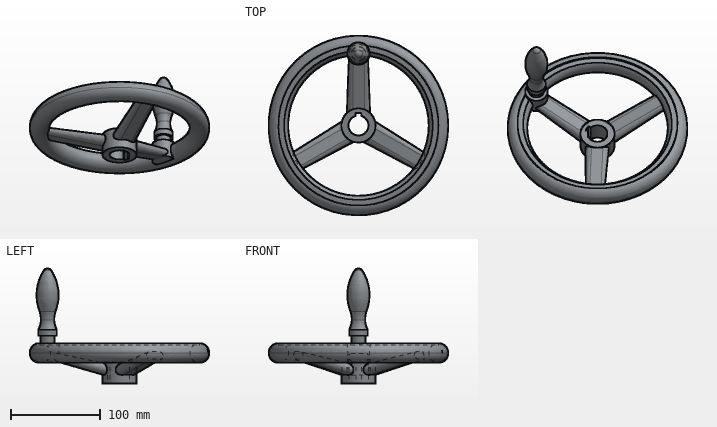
import cadquery as cq
import math

RIM_OUTER_RADIUS = 100.0
RIM_SECTION_RADIUS = 11.0
RIM_CENTER_RADIUS = RIM_OUTER_RADIUS - RIM_SECTION_RADIUS
RIM_CENTER_Z = 34.0
RIM_TOP_Z = RIM_CENTER_Z + RIM_SECTION_RADIUS
LEDGE_DEPTH = 2.0

HUB_DIAMETER = 38.0
HUB_HEIGHT = 24.0
BORE_DIAMETER = 22.0
KEYWAY_WIDTH = 6.0
KEYWAY_REACH = 13.8

SPOKE_COUNT = 3
SPOKE_FLAT_WIDTH = 12.6
SPOKE_INNER_DISTANCE = 14.0
SPOKE_INNER_Z = 15.25
SPOKE_INNER_THICKNESS = 13.7
SPOKE_OUTER_THICKNESS = 8.0

HANDLE_DISTANCE = 80.0
BOSS_DIAMETER = 25.0
BOSS_HEIGHT = 20.5

PIN_RADIUS = 8.0
COLLAR_RADIUS = 10.5
COLLAR_BOTTOM_Z = 53.0
COLLAR_TOP_Z = 59.6
NECK_RADIUS = 7.6
NECK_Z = 71.0
GRIP_START_RADIUS = 9.0
GRIP_START_Z = 80.2
GRIP_RADIUS = 12.5
GRIP_WIDEST_Z = 98.0
TIP_RADIUS = 4.2
TIP_Z = 125.8
HANDLE_TOP_Z = 127.99


def make_rim():
    """Ring of round section, stepped down on the top of its inner half."""
    ring = cq.Workplane(cq.Solid.makeTorus(
        RIM_CENTER_RADIUS, RIM_SECTION_RADIUS, cq.Vector(0, 0, RIM_CENTER_Z)))
    ledge_cut = (
        cq.Workplane("XY")
        .workplane(offset=RIM_TOP_Z - LEDGE_DEPTH)
        .circle(RIM_CENTER_RADIUS)
        .extrude(2 * LEDGE_DEPTH)
    )
    return ring.cut(ledge_cut)


def make_hub():
    """Plain cylinder; the bore is cut after the spokes are joined."""
    return cq.Workplane("XY").circle(HUB_DIAMETER / 2).extrude(HUB_HEIGHT)


def spoke_section(distance, center_z, thickness):
    """Flat section with round ends, upright and facing along +Y."""
    plane = cq.Plane(origin=(0, distance, center_z), xDir=(1, 0, 0), normal=(0, 1, 0))
    half_flat = SPOKE_FLAT_WIDTH / 2
    half_thickness = thickness / 2
    return (
        cq.Workplane(plane)
        .moveTo(-half_flat, -half_thickness)
        .lineTo(half_flat, -half_thickness)
        .threePointArc((half_flat + half_thickness, 0), (half_flat, half_thickness))
        .lineTo(-half_flat, half_thickness)
        .threePointArc((-half_flat - half_thickness, 0), (-half_flat, -half_thickness))
        .close()
        .wires()
        .val()
    )


def make_spoke():
    """One tapered spoke along +Y, from inside the hub to the rim centre line."""
    inner = spoke_section(SPOKE_INNER_DISTANCE, SPOKE_INNER_Z, SPOKE_INNER_THICKNESS)
    outer = spoke_section(RIM_CENTER_RADIUS, RIM_CENTER_Z, SPOKE_OUTER_THICKNESS)
    return cq.Workplane(cq.Solid.makeLoft([inner, outer], True))


def make_boss():
    """Round boss on the rim's inner half, hanging down from the level of the rim's top."""
    return (
        cq.Workplane("XY")
        .workplane(offset=RIM_TOP_Z)
        .center(0, HANDLE_DISTANCE)
        .circle(BOSS_DIAMETER / 2)
        .extrude(-BOSS_HEIGHT)
    )


def neck_arc_middle(end_radius, end_z):
    """Middle of the hollow arc from the given end to the neck, vertical at the neck."""
    rise = end_radius - NECK_RADIUS
    run = end_z - NECK_Z
    arc_radius = (rise**2 + run**2) / (2 * rise)
    half_angle = math.asin(run / arc_radius) / 2
    return (
        NECK_RADIUS + arc_radius * (1 - math.cos(half_angle)),
        NECK_Z + arc_radius * math.sin(half_angle),
    )


def make_handle():
    """Turned handle: pin, collar, waisted neck, bulging grip and domed tip."""
    dome_height = HANDLE_TOP_Z - TIP_Z
    dome_radius = (TIP_RADIUS**2 + dome_height**2) / (2 * dome_height)
    dome_angle = math.asin(TIP_RADIUS / dome_radius) / 2
    dome_middle = (
        dome_radius * math.sin(dome_angle),
        HANDLE_TOP_Z - dome_radius * (1 - math.cos(dome_angle)),
    )
    profile = (
        cq.Workplane("XZ")
        .moveTo(0, RIM_CENTER_Z)
        .lineTo(PIN_RADIUS, RIM_CENTER_Z)
        .lineTo(PIN_RADIUS, COLLAR_BOTTOM_Z)
        .lineTo(COLLAR_RADIUS, COLLAR_BOTTOM_Z)
        .lineTo(COLLAR_RADIUS, COLLAR_TOP_Z)
        .threePointArc(neck_arc_middle(COLLAR_RADIUS, COLLAR_TOP_Z), (NECK_RADIUS, NECK_Z))
        .threePointArc(
            neck_arc_middle(GRIP_START_RADIUS, GRIP_START_Z), (GRIP_START_RADIUS, GRIP_START_Z))
        .threePointArc((GRIP_RADIUS, GRIP_WIDEST_Z), (TIP_RADIUS, TIP_Z))
        .threePointArc(dome_middle, (0, HANDLE_TOP_Z))
        .close()
    )
    return profile.revolve(360, (0, 0), (0, 1)).translate((0, HANDLE_DISTANCE, 0))


def make_bore():
    """Bore with a keyway on its +Y side."""
    bore = cq.Workplane("XY").circle(BORE_DIAMETER / 2).extrude(HUB_HEIGHT)
    keyway = cq.Workplane("XY").box(
        KEYWAY_WIDTH, KEYWAY_REACH, HUB_HEIGHT, centered=(True, False, False))
    return bore.union(keyway)


result = make_rim().union(make_hub())
for index in range(SPOKE_COUNT):
    turn = 360 / SPOKE_COUNT * index
    result = result.union(make_spoke().rotate((0, 0, 0), (0, 0, 1), turn))
result = result.union(make_boss()).union(make_handle()).cut(make_bore())